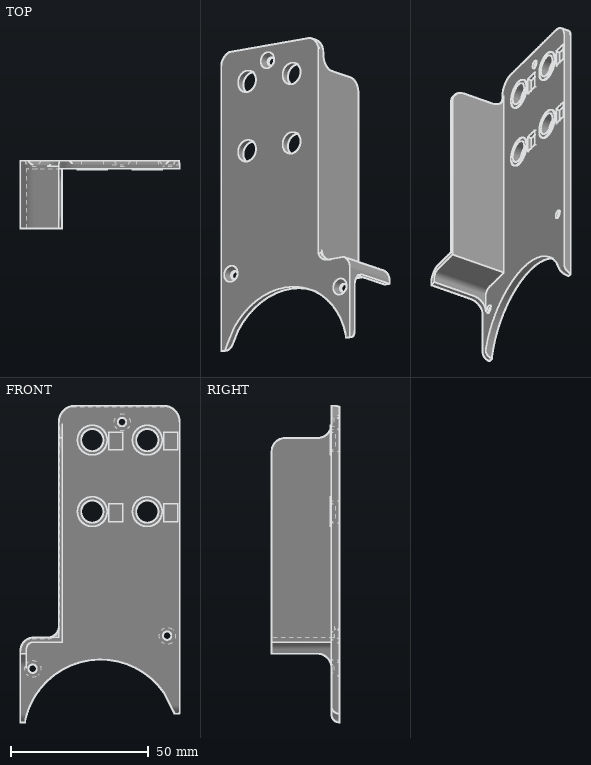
import cadquery as cq
import math

width = 58.0
depth = 24.75
height = 115.25

plate_thickness = 3.0
plate_corner_radius = 6.0
step_x = 14.0
shoulder_z = 31.0
shoulder_radius = 5.0
right_tip_z = 3.2
tip_round_radius = 3.0

arch_radius = 28.0
arch_center_x = 29.2
arch_top_z = 22.9
left_tip_width = 1.9
right_tip_width = 1.9
arch_end_x = 52.2

wall_thickness = 1.25
ledge_thickness = 1.75
lip_thickness = 2.25
ledge_inner_radius = 2.5
flange_top_z = height - 11.75
lip_bottom_z = 25.0
flange_round_radius = 5.0

top_bevel = (1.5, 0.38)
side_bevel = (1.5, 0.25)
ledge_bevel = (1.6, 0.5)

gusset_radius = 4.0
gusset_thickness = 2.0

hole_diameter = 8.0
ring_diameter = 10.8
ring_height = 0.4
first_hole_x = 26.2
first_hole_z = 76.7
hole_pitch_x = 20.0
hole_pitch_z = 26.0
pocket_width = 5.0
pocket_height = 6.5
pocket_depth = 1.5
pocket_offset_x = 8.5
pocket_offset_z = -0.35

screw_hole_diameter = 3.0
countersink_diameter = 6.0
countersink_depth = 2.1
screw_hole_points = [(37.0, 109.25), (53.4, 31.6), (4.5, 19.6)]


def arch_z(x):
    """Height of the arch at a given X."""
    center_z = arch_top_z - arch_radius
    return center_z + math.sqrt(arch_radius**2 - (x - arch_center_x) ** 2)


def make_plate():
    right_tip_x = width - right_tip_width
    outline = (
        cq.Workplane("XZ")
        .lineTo(0, shoulder_z)
        .lineTo(step_x, shoulder_z)
        .lineTo(step_x, height)
        .lineTo(width, height)
        .lineTo(width, right_tip_z)
        .lineTo(right_tip_x, right_tip_z)
        .lineTo(arch_end_x, arch_z(arch_end_x))
        .threePointArc((arch_center_x, arch_top_z), (left_tip_width, arch_z(left_tip_width)))
        .lineTo(left_tip_width, 0)
        .close()
    )
    plate = outline.extrude(plate_thickness)
    plate = plate.edges("|Y").edges(">Z").fillet(plate_corner_radius)
    shoulder_corner = cq.selectors.NearestToPointSelector((0, -plate_thickness / 2, shoulder_z))
    return plate.edges(shoulder_corner).fillet(shoulder_radius)


def tip_round(tip_x, tip_width, tip_z):
    """Material removed to round the front lower edge of a leg."""
    r = tip_round_radius
    diagonal = r * (1 - math.sqrt(0.5))
    front_y = -plate_thickness
    return (
        cq.Workplane("YZ", origin=(tip_x, 0, 0))
        .moveTo(front_y, tip_z)
        .lineTo(front_y, tip_z + r)
        .threePointArc((front_y + diagonal, tip_z + diagonal), (front_y + r, tip_z))
        .close()
        .extrude(tip_width)
    )


def make_flange():
    inner_z = shoulder_z - ledge_thickness
    wall_inner_x = step_x + wall_thickness
    band = (
        cq.Workplane("XZ")
        .moveTo(0, lip_bottom_z - flange_round_radius)
        .lineTo(0, shoulder_z - shoulder_radius)
        .radiusArc((shoulder_radius, shoulder_z), shoulder_radius)
        .lineTo(step_x, shoulder_z)
        .lineTo(step_x, height)
        .lineTo(wall_inner_x, height)
        .lineTo(wall_inner_x, inner_z)
        .lineTo(lip_thickness + ledge_inner_radius, inner_z)
        .radiusArc((lip_thickness, inner_z - ledge_inner_radius), -ledge_inner_radius)
        .lineTo(lip_thickness, lip_bottom_z - flange_round_radius)
        .close()
        .extrude(depth)
    )
    r = flange_round_radius
    side_profile = (
        cq.Workplane("YZ")
        .moveTo(0, lip_bottom_z - r)
        .lineTo(-plate_thickness, lip_bottom_z - r)
        .radiusArc((-plate_thickness - r, lip_bottom_z), -r)
        .lineTo(-depth, lip_bottom_z)
        .lineTo(-depth, flange_top_z - r)
        .radiusArc((-depth + r, flange_top_z), r)
        .lineTo(-plate_thickness - r, flange_top_z)
        .radiusArc((-plate_thickness, flange_top_z + r), -r)
        .lineTo(0, flange_top_z + r)
        .close()
        .extrude(width)
    )
    return band.intersect(side_profile)


def level_edge_bevel(bevel, edge_z, start_x, end_x):
    """Wedge removed along a horizontal back edge."""
    length, inset = bevel
    return (
        cq.Workplane("YZ", origin=(start_x, 0, 0))
        .polyline([(0, edge_z), (-length, edge_z), (0, edge_z - inset)])
        .close()
        .extrude(end_x - start_x)
    )


def side_edge_bevel(edge_x, bottom_z, inward):
    """Wedge removed along an upright back edge; inward is +1 or -1 along X."""
    length, inset = side_bevel
    return (
        cq.Workplane("XY", origin=(0, 0, bottom_z))
        .polyline([(edge_x, 0), (edge_x, -length), (edge_x + inward * inset, 0)])
        .close()
        .extrude(height - bottom_z)
    )


def gusset_outline(outline, inset):
    """Concave corner outline; the inset shifts its curve toward the body."""
    r = gusset_radius
    curve_x = step_x - r
    curve_z = shoulder_z + r
    return (
        outline.moveTo(curve_x, shoulder_z - inset)
        .radiusArc((step_x + inset, curve_z), -(r + inset))
        .lineTo(step_x + wall_thickness, curve_z)
        .lineTo(step_x + wall_thickness, shoulder_z - ledge_thickness)
        .lineTo(curve_x, shoulder_z - ledge_thickness)
        .close()
    )


def make_gusset():
    """Corner fill between wall and shoulder, set back at the rear like the ledge bevel."""
    back = gusset_outline(cq.Workplane("XZ"), ledge_bevel[1])
    front = gusset_outline(back.workplane(offset=gusset_thickness), 0)
    return front.loft(ruled=True, combine=True)


def front_face():
    return cq.Workplane("XZ", origin=(0, -plate_thickness, 0))


def make_countersinks():
    """Cones opening toward the back, one at each small hole."""
    back_radius = countersink_diameter / 2
    front_radius = screw_hole_diameter / 2
    toward_front = cq.Vector(0, -1, 0)
    cones = cq.Workplane("XZ")
    for x, z in screw_hole_points:
        center = cq.Vector(x, 0, z)
        cone = cq.Solid.makeCone(back_radius, front_radius, countersink_depth, center, toward_front)
        cones = cones.add(cone)
    return cones.combine()


def add_holes(body):
    hole_points = []
    for column in range(2):
        for row in range(2):
            hole_points.append((first_hole_x + column * hole_pitch_x, first_hole_z + row * hole_pitch_z))
    pocket_points = [(x + pocket_offset_x, z + pocket_offset_z) for x, z in hole_points]

    rings = front_face().pushPoints(hole_points).circle(ring_diameter / 2).extrude(ring_height)
    holes = cq.Workplane("XZ").pushPoints(hole_points).circle(hole_diameter / 2)
    screw_holes = cq.Workplane("XZ").pushPoints(screw_hole_points).circle(screw_hole_diameter / 2)
    pockets = front_face().pushPoints(pocket_points).rect(pocket_width, pocket_height)

    body = body.union(rings)
    body = body.cut(holes.extrude(plate_thickness + ring_height))
    body = body.cut(screw_holes.extrude(plate_thickness))
    body = body.cut(make_countersinks())
    return body.cut(pockets.extrude(-pocket_depth))


body = make_plate().union(make_flange())
body = body.cut(tip_round(0, left_tip_width + tip_round_radius, 0))
right_round_width = right_tip_width + tip_round_radius
body = body.cut(tip_round(width - right_round_width, right_round_width, right_tip_z))
body = body.cut(level_edge_bevel(top_bevel, height, step_x, width))
body = body.cut(level_edge_bevel(ledge_bevel, shoulder_z, 0, step_x))
body = body.cut(side_edge_bevel(step_x, shoulder_z, 1))
body = body.cut(side_edge_bevel(width, right_tip_z, -1))
body = body.union(make_gusset())
result = add_holes(body)